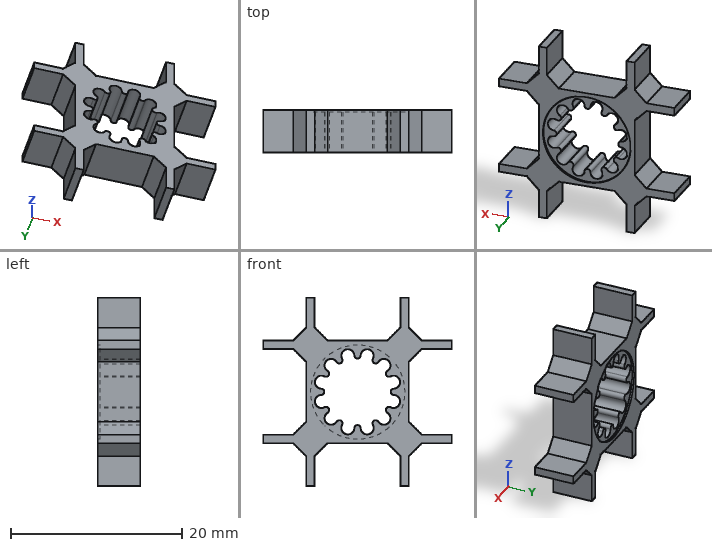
import cadquery as cq
import math

span = 22.0
depth = 5.0
body_half = 6.0
arm_width = 1.01
gusset_leg = 1.5

lobe_count = 12
lobe_center_radius = 4.35
lobe_radius = 0.75
tooth_center_radius = 4.25

recess_radius = 5.5
recess_depth = 0.25

half_span = span / 2
half_pitch = math.pi / lobe_count


def polar(radius, angle):
    return (radius * math.cos(angle), radius * math.sin(angle))


def toward(start, end, distance):
    """Point at the given distance from start along the line to end."""
    fraction = distance / math.dist(start, end)
    return tuple(a + fraction * (b - a) for a, b in zip(start, end))


def centered_bar(size_x, size_z):
    return cq.Workplane("XZ").rect(size_x, size_z).extrude(depth / 2, both=True)


def make_corner(sign_x, sign_z):
    """Two crossing arms with their gussets at one corner of the body."""
    inner = body_half - arm_width
    gusset_outer = body_half + gusset_leg
    gusset_inner = inner - gusset_leg
    points = [
        (gusset_inner, body_half),
        (inner, gusset_outer),
        (inner, half_span),
        (body_half, half_span),
        (body_half, gusset_outer),
        (gusset_outer, body_half),
        (half_span, body_half),
        (half_span, inner),
        (gusset_outer, inner),
        (body_half, gusset_inner),
        (gusset_inner, gusset_inner),
    ]
    outline = [(sign_x * x, sign_z * z) for x, z in points]
    return cq.Workplane("XZ").polyline(outline).close().extrude(depth / 2, both=True)


def make_bore():
    """Cutter whose lobe arcs run tangent into the rounded teeth."""
    lobe_tip_radius = lobe_center_radius + lobe_radius
    tooth_radius = math.dist(
        polar(lobe_center_radius, half_pitch), polar(tooth_center_radius, 0)
    ) - lobe_radius
    tooth_tip_radius = tooth_center_radius - tooth_radius

    def tangent_point(lobe_angle, tooth_angle):
        lobe_center = polar(lobe_center_radius, lobe_angle)
        tooth_center = polar(tooth_center_radius, tooth_angle)
        return toward(lobe_center, tooth_center, lobe_radius)

    profile = cq.Workplane("XZ").moveTo(*tangent_point(half_pitch, 0))
    for index in range(lobe_count):
        lobe_angle = (2 * index + 1) * half_pitch
        tooth_angle = lobe_angle + half_pitch
        next_lobe_angle = tooth_angle + half_pitch
        profile = profile.threePointArc(
            polar(lobe_tip_radius, lobe_angle), tangent_point(lobe_angle, tooth_angle)
        )
        profile = profile.threePointArc(
            polar(tooth_tip_radius, tooth_angle), tangent_point(next_lobe_angle, tooth_angle)
        )
    return profile.close().extrude(depth / 2, both=True)


def make_back_recess():
    """Shallow round pocket in the +Y face, just clearing the lobes."""
    back_plane = cq.Workplane("XZ", origin=(0, depth / 2, 0))
    return back_plane.circle(recess_radius).extrude(recess_depth)


body = centered_bar(2 * body_half, 2 * body_half)
for sign_x in (-1, 1):
    for sign_z in (-1, 1):
        body = body.union(make_corner(sign_x, sign_z))

result = body.cut(make_bore()).cut(make_back_recess())